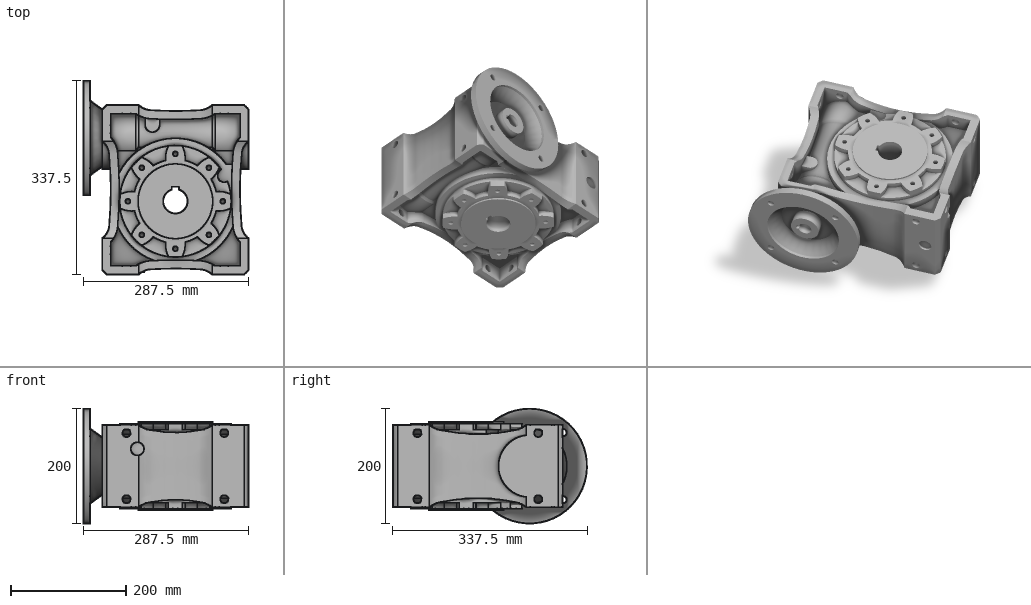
import cadquery as cq
import math


frame_width = 255.0
frame_length = 295.0
frame_mid_y = 20.0
frame_height = 143.0
frame_top = frame_height / 2
wall = 15.0
corner_chamfer = 8.0
floor_z = 41.0

end_waist = {"half": 41.0, "run": 23.0, "drop": 9.0, "sag": 1.3}
side_waist = {"half": 60.5, "run": 23.75, "drop": 12.3, "sag": 2.6}

end_saddle_drop = 9.2
end_saddle_depth = 13.2
side_saddle_drop = 9.8
side_saddle_depth = 15.8
saddle_flare_bow = 1.8

ring_radius = 109.5
ring_top = 55.5
disc_radius = 97.0
disc_top = 63.3
plate_radius = 73.0
plate_top = 74.0
hub_radius = 65.0
hub_top = 77.0
pad_count = 8
pad_half_width = 17.0
pad_widest = 75.4
pad_flank_radius = 46.6
pad_root = 70.0
pad_reach = 100.0
bolt_circle_radius = 82.5
bolt_hole_diameter = 8.5
bolt_hole_depth = 20.0
drill_point_angle = 118.0

output_bore_radius = 21.0
output_key_width = 12.0
output_key_top = 25.0

ledge_edge_y = 64.6
slot_radius = 11.5
slot_along = 91.6
ledge_inner_x = 60.0

worm_y = 110.0
tube_end_radius = 46.5
tube_middle_radius = 44.0
tube_middle_half = 64.0
tube_taper = 5.3
boss_radius = 54.0
boss_length = 30.0
lug_x = -40.0
lug_radius = 12.6
lug_y = 132.8
lug_top = 47.0

spigot_radius = 47.6
spigot_length = 3.5
hub_face_x = -150.0
worm_hub_radius = 25.0
worm_bore_radius = 12.0
worm_bore_depth = 50.0
worm_key_width = 8.0
worm_key_top = 15.3

frame_hole_diameter = 14.0
frame_hole_inset = 42.5
frame_hole_z = 57.5
recess_radius = 11.5
recess_depth = 4.0
front_recess_x = -66.0
front_recess_z = 30.0
side_recess_y = -101.5

flange_radius = 100.0
flange_thickness = 12.0
flange_length = 32.5
flange_mouth_radius = 65.0
flange_mouth_depth = 5.0
flange_neck_radius = 50.0
flange_bolt_circle_radius = 82.5
flange_hole_diameter = 12.0

half_width = frame_width / 2
half_length = frame_length / 2
front_y = frame_mid_y - half_length
flange_end_x = -half_width
flange_face_x = flange_end_x - flange_length


def quarter_turned(point, quarters):
    """The point turned clockwise about the frame centre by a number of quarter turns."""
    u, v = point
    for _ in range(quarters):
        u, v = v, -u
    return u, v


def waisted_prism(inset, height):
    """Prism about Z = 0 over the waisted frame outline, moved inwards by inset."""
    reach_x = half_width - inset
    reach_y = half_length - inset
    base = cq.Workplane("XY", origin=(0, frame_mid_y, -height / 2))
    outline = base.moveTo(-reach_x, reach_y)
    for quarters in range(4):
        on_end = quarters % 2 == 0
        waist = end_waist if on_end else side_waist
        reach, corner_u = (reach_y, reach_x) if on_end else (reach_x, reach_y)
        drop = waist["drop"]
        half = waist["half"]
        low = reach - drop
        flare_radius = (waist["run"] ** 2 + drop ** 2) / (2 * drop) + inset
        flare_angle = math.acos(1 - drop / flare_radius)
        flare_start = half + flare_radius * math.sin(flare_angle)
        middle_u = half + flare_radius * math.sin(flare_angle / 2)
        middle_v = low + flare_radius * (1 - math.cos(flare_angle / 2))

        def turned(u, v):
            return quarter_turned((u, v), quarters)

        outline = (
            outline.lineTo(*turned(-flare_start, reach))
            .threePointArc(turned(-middle_u, middle_v), turned(-half, low))
            .threePointArc(turned(0, low - waist["sag"]), turned(half, low))
            .threePointArc(turned(middle_u, middle_v), turned(flare_start, reach))
        )
        if quarters < 3:
            outline = outline.lineTo(*turned(corner_u, reach))
    return outline.close().extrude(height)


def saddle(plane, middle, waist, foot_drop, depth, length):
    """Tool that lowers the wall tops above one pair of waists."""
    outer = waist["half"] + waist["run"]
    half = waist["half"]
    foot = frame_top - foot_drop
    flare_u = (outer + half) / 2
    flare_z = (frame_top + foot) / 2 - saddle_flare_bow
    return (
        cq.Workplane(plane)
        .center(middle, 0)
        .moveTo(-outer, frame_top)
        .threePointArc((-flare_u, flare_z), (-half, foot))
        .threePointArc((0, frame_top - depth), (half, foot))
        .threePointArc((flare_u, flare_z), (outer, frame_top))
        .close()
        .extrude(length, both=True)
    )


def x_cylinder(radius, start_x, end_x, y, z):
    """Cylinder along X between two X positions."""
    return cq.Workplane("YZ").workplane(offset=start_x).center(y, z).circle(radius).extrude(end_x - start_x)


def y_cylinder(radius, start_y, end_y, x, z):
    """Cylinder along Y between two Y positions."""
    return cq.Workplane("XZ").workplane(offset=-start_y).center(x, z).circle(radius).extrude(start_y - end_y)


def make_frame():
    """Waisted frame with a worm boss on each side; its solid core ends at the worm axis."""
    envelope = (
        cq.Workplane("XY")
        .center(0, frame_mid_y)
        .box(frame_width, frame_length, frame_height)
        .edges("|Z")
        .chamfer(corner_chamfer)
    )
    frame = waisted_prism(0, frame_height).intersect(envelope)
    end_saddle = saddle("XZ", 0, end_waist, end_saddle_drop, end_saddle_depth, frame_length)
    side_saddle = saddle("YZ", frame_mid_y, side_waist, side_saddle_drop, side_saddle_depth, frame_width)
    for tool in (end_saddle, side_saddle):
        frame = frame.cut(tool).cut(tool.mirror("XY"))
    for sign in (-1, 1):
        outer_x = sign * half_width
        boss = x_cylinder(boss_radius, outer_x, outer_x - sign * boss_length, worm_y, 0)
        frame = frame.union(boss.intersect(envelope))
    core_length = worm_y - front_y
    core = cq.Workplane("XY").center(0, front_y + core_length / 2).box(frame_width, core_length, 2 * floor_z)
    return frame.cut(waisted_prism(wall, frame_height).cut(core))


def make_worm_tube():
    """Tube over the worm, thicker at both ends, between the side walls."""
    end_x = half_width - wall
    taper_x = tube_middle_half + tube_taper
    return (
        cq.Workplane("XZ", origin=(0, worm_y, 0))
        .moveTo(-end_x, 0)
        .lineTo(-end_x, tube_end_radius)
        .lineTo(-taper_x, tube_end_radius)
        .lineTo(-tube_middle_half, tube_middle_radius)
        .lineTo(tube_middle_half, tube_middle_radius)
        .lineTo(taper_x, tube_end_radius)
        .lineTo(end_x, tube_end_radius)
        .lineTo(end_x, 0)
        .close()
        .revolve(360, (0, 0, 0), (1, 0, 0))
    )


def make_lug():
    """Flat-topped round-ended lug on the worm tube, reaching into the back wall."""
    wall_middle_y = frame_mid_y + half_length - end_waist["drop"] - wall / 2
    length = wall_middle_y - lug_y
    round_end = cq.Workplane("XY").center(lug_x, lug_y).circle(lug_radius).extrude(lug_top)
    shank = (
        cq.Workplane("XY")
        .center(lug_x, lug_y + length / 2)
        .rect(2 * lug_radius, length)
        .extrude(lug_top)
    )
    return round_end.union(shank)


def make_ledge():
    """Fill between the cover ring and the +X wall, level with the ring."""
    wall_middle_x = half_width - side_waist["drop"] - wall / 2
    return (
        cq.Workplane("XY")
        .moveTo(ledge_inner_x, 0)
        .lineTo(wall_middle_x, 0)
        .lineTo(wall_middle_x, ledge_edge_y)
        .lineTo(ledge_inner_x, ledge_edge_y)
        .close()
        .extrude(ring_top)
    )


def make_slot():
    """Round-ended slot cut outwards into the cover disc, along the flank of the 45 degree pad."""
    length = disc_radius - slot_along + slot_radius
    round_end = cq.Workplane("XY").circle(slot_radius).extrude(disc_top - ring_top)
    channel = (
        cq.Workplane("XY")
        .center(length / 2, 0)
        .rect(length, 2 * slot_radius)
        .extrude(disc_top - ring_top)
    )
    flank = -(pad_half_width + slot_radius)
    return (
        round_end.union(channel)
        .translate((slot_along, flank, ring_top))
        .rotate((0, 0, 0), (0, 0, 1), 45)
    )


def pad_half_width_at(radius):
    """Half width of the barrel-shaped pad at a distance from the output axis."""
    rise = math.sqrt(pad_flank_radius ** 2 - (radius - pad_widest) ** 2)
    return pad_half_width - pad_flank_radius + rise


def make_pad():
    """Radial pad along +X with one arc for each flank."""
    root_half = pad_half_width_at(pad_root)
    middle = (pad_root + pad_reach) / 2
    middle_half = pad_half_width_at(middle)
    tip_half = pad_half_width_at(pad_reach)
    return (
        cq.Workplane("XY")
        .moveTo(0, -root_half)
        .lineTo(pad_root, -root_half)
        .threePointArc((middle, -middle_half), (pad_reach, -tip_half))
        .lineTo(pad_reach, tip_half)
        .threePointArc((middle, middle_half), (pad_root, root_half))
        .lineTo(0, root_half)
        .close()
        .extrude(plate_top)
    )


def make_cover():
    """Upper output cover: ring, disc, plate with radial bolt pads, and hub."""
    ring = cq.Workplane("XY").circle(ring_radius).extrude(ring_top)
    disc = cq.Workplane("XY").circle(disc_radius).extrude(disc_top)
    plate = cq.Workplane("XY").circle(plate_radius).extrude(plate_top)
    pad = make_pad()
    for index in range(pad_count):
        plate = plate.union(pad.rotate((0, 0, 0), (0, 0, 1), index * 360 / pad_count))
    plate = plate.intersect(cq.Workplane("XY").circle(disc_radius).extrude(plate_top))
    hub = cq.Workplane("XY").circle(hub_radius).extrude(hub_top)
    return ring.union(disc).union(plate).union(hub)


def make_bolt_holes():
    """Blind drilled holes in the pads of the upper cover, with conical ends."""
    radius = bolt_hole_diameter / 2
    bottom = plate_top - bolt_hole_depth
    tip = bottom - radius / math.tan(math.radians(drill_point_angle / 2))
    drill = (
        cq.Workplane("XZ")
        .moveTo(0, tip)
        .lineTo(radius, bottom)
        .lineTo(radius, plate_top)
        .lineTo(0, plate_top)
        .close()
        .revolve(360, (0, 0, 0), (0, 1, 0))
        .translate((bolt_circle_radius, 0, 0))
    )
    holes = drill
    for index in range(1, pad_count):
        holes = holes.union(drill.rotate((0, 0, 0), (0, 0, 1), index * 360 / pad_count))
    return holes


def make_output_bore():
    """Through bore with its keyway on the +Y side."""
    bore = cq.Workplane("XY").circle(output_bore_radius).extrude(hub_top, both=True)
    keyway = (
        cq.Workplane("XY")
        .center(0, output_key_top / 2)
        .rect(output_key_width, output_key_top)
        .extrude(hub_top, both=True)
    )
    return bore.union(keyway)


def make_worm_hub():
    """Spigot and worm shaft hub on the motor side."""
    spigot = x_cylinder(spigot_radius, flange_end_x, flange_end_x - spigot_length, worm_y, 0)
    hub = x_cylinder(worm_hub_radius, flange_end_x, hub_face_x, worm_y, 0)
    return spigot.union(hub)


def make_worm_bore():
    """Blind worm shaft bore with its keyway on the +Y side."""
    bore = x_cylinder(worm_bore_radius, hub_face_x, hub_face_x + worm_bore_depth, worm_y, 0)
    keyway = (
        cq.Workplane("YZ")
        .workplane(offset=hub_face_x)
        .center(worm_y + worm_key_top / 2, 0)
        .rect(worm_key_top, worm_key_width)
        .extrude(worm_bore_depth)
    )
    return bore.union(keyway)


def drill_frame_holes(housing):
    """Four holes through each of the four walls, near the corners."""
    radius = frame_hole_diameter / 2
    for z in (-frame_hole_z, frame_hole_z):
        for sign in (-1, 1):
            x = sign * (half_width - frame_hole_inset)
            y = frame_mid_y + sign * (half_length - frame_hole_inset)
            for side in (-1, 1):
                end_y = frame_mid_y + side * half_length
                end_x = side * half_width
                housing = housing.cut(y_cylinder(radius, end_y, end_y - side * wall, x, z))
                housing = housing.cut(x_cylinder(radius, end_x, end_x - side * wall, y, z))
    return housing


def add_round_recesses(housing):
    """Shallow flat-bottomed round recesses in the front wall and the -X wall."""
    floor_y = front_y + recess_depth
    seat = y_cylinder(recess_radius, floor_y, front_y + wall, front_recess_x, front_recess_z)
    front_recess = y_cylinder(recess_radius, front_y, floor_y, front_recess_x, front_recess_z)
    side_recess = x_cylinder(recess_radius, -half_width, -half_width + recess_depth, side_recess_y, 0)
    return housing.union(seat).cut(front_recess).cut(side_recess)


def make_housing():
    """Gearbox housing with its covers and worm shaft hub."""
    cover = make_cover()
    bolt_holes = make_bolt_holes()
    upper_cover = cover.cut(make_slot())
    housing = make_frame().union(make_worm_tube()).union(make_lug()).union(make_ledge())
    housing = housing.union(upper_cover).union(cover.mirror("XY")).union(make_worm_hub())
    housing = housing.cut(bolt_holes).cut(bolt_holes.mirror("XY"))
    housing = housing.cut(make_output_bore()).cut(make_worm_bore())
    return add_round_recesses(drill_frame_holes(housing))


def make_motor_flange():
    """Round motor flange with a hollow conical neck that fits over the spigot."""
    plate_x = flange_face_x + flange_thickness
    flange = (
        cq.Workplane("XZ", origin=(0, worm_y, 0))
        .moveTo(flange_face_x, flange_mouth_radius)
        .lineTo(flange_face_x, flange_radius)
        .lineTo(plate_x, flange_radius)
        .lineTo(plate_x, flange_mouth_radius)
        .lineTo(flange_end_x, flange_neck_radius)
        .lineTo(flange_end_x, spigot_radius)
        .lineTo(flange_end_x - spigot_length, spigot_radius)
        .lineTo(flange_face_x + flange_mouth_depth, flange_mouth_radius)
        .close()
        .revolve(360, (0, 0, 0), (1, 0, 0))
    )
    hole_offset = flange_bolt_circle_radius * math.sqrt(0.5)
    for y_sign in (-1, 1):
        for z_sign in (-1, 1):
            y = worm_y + y_sign * hole_offset
            z = z_sign * hole_offset
            flange = flange.cut(x_cylinder(flange_hole_diameter / 2, flange_face_x, plate_x, y, z))
    return flange


housing = make_housing()
motor_flange = make_motor_flange()
result = cq.Compound.makeCompound([housing.val(), motor_flange.val()])